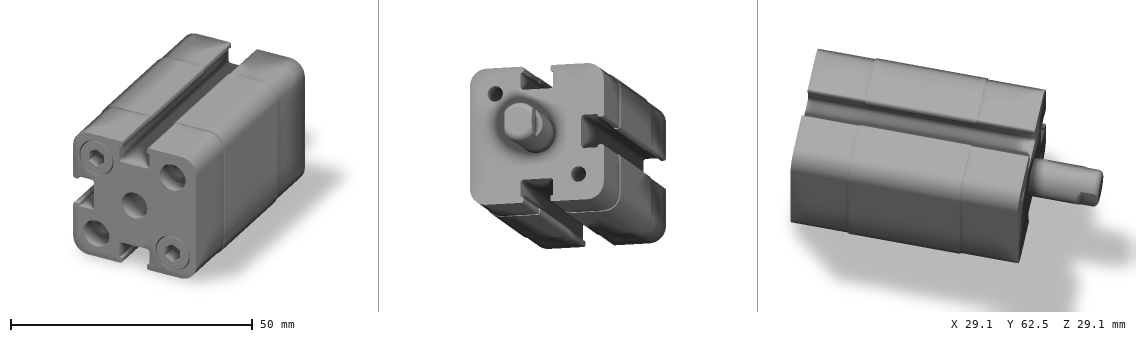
import cadquery as cq
import math

cap_length = 12.25
barrel_length = 23.5
rod_length = 14.5
rear_cap_start = cap_length + barrel_length
rear_face = rear_cap_start + cap_length

barrel_width = 29.05
cap_width = 28.75
corner_radius = 3.55

slot_floor_height = 9.5
slot_lip_height = 13.05
slot_inner_width = 7.0
slot_floor_fillet = 0.6
barrel_mouth_width = 5.45
cap_mouth_width = 5.8
lip_land_width = 6.6
lip_underside_fillet = 0.4
slot_angles = (0, 90, 180)

fastener_offset = 8.95
mounting_positions = [(fastener_offset, fastener_offset), (-fastener_offset, -fastener_offset)]
screw_positions = [(-fastener_offset, fastener_offset), (fastener_offset, -fastener_offset)]
mounting_hole_diameter = 3.25
counterbore_diameter = 6.05
counterbore_depth = 3.5
screw_recess_diameter = 8.0
screw_head_diameter = 7.5
screw_head_height = 4.0
socket_across_flats = 3.55
socket_depth = 3.0
centre_hole_diameter = 6.0
centre_hole_depth = 7.5

rod_diameter = 8.0
rod_tip_fillet = 1.2
flat_width = 5.9
flat_length = 3.45


def plane_at(y):
    """Plane across the cylinder at the given Y; a negative extrusion runs toward +Y."""
    return cq.Workplane("XZ", origin=(0, y, 0))


def slot_cutter(outer_half, mouth_width, y_start, length):
    """T-slot opening toward +Z, with rounded floor corners and lip edges."""
    channel = (
        plane_at(y_start)
        .center(0, (slot_floor_height + slot_lip_height) / 2)
        .rect(slot_inner_width, slot_lip_height - slot_floor_height)
        .extrude(-length)
        .edges("|Y and <Z")
        .fillet(slot_floor_fillet)
    )
    half_mouth = mouth_width / 2
    lip_radius = lip_land_width / 2 - half_mouth
    mouth = (
        plane_at(y_start)
        .moveTo(-half_mouth - lip_underside_fillet, slot_lip_height)
        .lineTo(half_mouth + lip_underside_fillet, slot_lip_height)
        .radiusArc((half_mouth, slot_lip_height + lip_underside_fillet), lip_underside_fillet)
        .lineTo(half_mouth, outer_half - lip_radius)
        .radiusArc((half_mouth + lip_radius, outer_half), lip_radius)
        .lineTo(-half_mouth - lip_radius, outer_half)
        .radiusArc((-half_mouth, outer_half - lip_radius), lip_radius)
        .lineTo(-half_mouth, slot_lip_height + lip_underside_fillet)
        .radiusArc((-half_mouth - lip_underside_fillet, slot_lip_height), lip_underside_fillet)
        .close()
        .extrude(-length)
    )
    return channel.union(mouth)


def profile_section(width, mouth_width, y_start, length):
    """Rounded square length of profile with T-slots on the top, bottom and -X sides."""
    section = plane_at(y_start).rect(width, width).extrude(-length).edges("|Y").fillet(corner_radius)
    cutter = slot_cutter(width / 2, mouth_width, y_start, length)
    for angle in slot_angles:
        section = section.cut(cutter.rotate((0, 0, 0), (0, 1, 0), -angle))
    return section


def piston_rod():
    """Round-tipped rod with two wrench flats that run out at 45 degrees."""
    radius = rod_diameter / 2
    tip = rear_face + rod_length
    rod = (
        cq.Workplane("XY")
        .moveTo(0, rear_face)
        .lineTo(radius, rear_face)
        .lineTo(radius, tip - rod_tip_fillet)
        .radiusArc((radius - rod_tip_fillet, tip), -rod_tip_fillet)
        .lineTo(0, tip)
        .close()
        .revolve(360, (0, 0, 0), (0, 1, 0))
    )
    half_flat = flat_width / 2
    flat_end = tip - flat_length
    flat_depth = radius - half_flat
    flat_cutter = (
        cq.Workplane("XY")
        .moveTo(half_flat, tip)
        .lineTo(half_flat, flat_end)
        .lineTo(radius, flat_end - flat_depth)
        .lineTo(radius, tip)
        .close()
        .extrude(radius, both=True)
    )
    return rod.cut(flat_cutter).cut(flat_cutter.mirror("YZ"))


def front_bores(positions, diameter, depth):
    """Round bores that go into the front face."""
    return plane_at(0).pushPoints(positions).circle(diameter / 2).extrude(-depth)


def screw_clearances_and_sockets():
    """Ring-shaped clearances around the screw heads, together with the hexagon sockets."""
    cutter = (
        plane_at(0)
        .pushPoints(screw_positions)
        .circle(screw_recess_diameter / 2)
        .circle(screw_head_diameter / 2)
        .extrude(-screw_head_height)
    )
    socket_across_corners = socket_across_flats / math.cos(math.pi / 6)
    socket = plane_at(0).polygon(6, socket_across_corners).extrude(-socket_depth)
    socket = socket.rotate((0, 0, 0), (0, 1, 0), 30)
    for x, z in screw_positions:
        cutter = cutter.union(socket.translate((x, 0, z)))
    return cutter


result = profile_section(cap_width, cap_mouth_width, 0, cap_length)
result = result.union(profile_section(barrel_width, barrel_mouth_width, cap_length, barrel_length))
result = result.union(profile_section(cap_width, cap_mouth_width, rear_cap_start, cap_length))
result = result.union(piston_rod())
result = result.cut(front_bores(mounting_positions, mounting_hole_diameter, rear_face))
result = result.cut(front_bores(mounting_positions, counterbore_diameter, counterbore_depth))
result = result.cut(front_bores([(0, 0)], centre_hole_diameter, centre_hole_depth))
result = result.cut(screw_clearances_and_sockets())